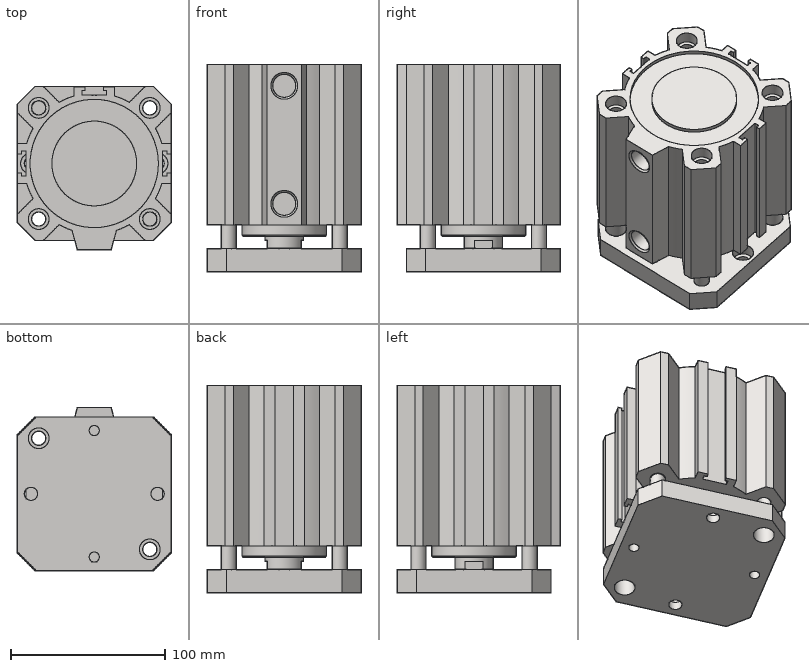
import cadquery as cq
import math

plate_thickness = 15.0
housing_bottom = 30.4
total_height = 134.5
housing_height = total_height - housing_bottom

body_width = 100.0
barrel_diameter = 91.5
corner_pad_width = 24.0
corner_chamfer = 11.5
rib_width = 26.1
rib_face_distance = 49.8
rib_angles = (0, 90, 180)
port_face_y = -56.02
port_face_width = 22.0
port_block_slope = 15.0

slot_neck_width = 12.1
slot_lip_thickness = 2.4
slot_width = 16.1
slot_depth = 5.4

recess_diameter = 83.3
recess_depth = 2.5
center_disc_diameter = 55.0
boss_diameter = 55.0
boss_bottom = 23.0
boss_chamfer = 0.8

corner_offset = 36.0
corner_hole_diameter = 9.0
counterbore_diameter = 13.5
counterbore_depth = 8.5

port_diameter = 14.9
port_depth = 16.1
port_chamfer = 1.2
port_lower_z = 44.1
port_upper_z = 120.6

plate_chamfer = 12.5
access_hole_diameter = counterbore_diameter
side_hole_offset = 41.0
side_hole_diameter = 8.5
small_hole_diameter = 6.6
rod_diameter = 25.0
rod_flat_width = 22.0
rod_flat_top = 20.5
rod_chamfer = 0.5
pin_diameter = 10.0

access_corners = [(-corner_offset, -corner_offset), (corner_offset, corner_offset)]
pin_corners = [(-corner_offset, corner_offset), (corner_offset, -corner_offset)]


def turned(shape, angle):
    return shape.rotate((0, 0, 0), (0, 0, 1), angle)


def chamfered_square(chamfer, bottom, height):
    square = cq.Workplane("XY").workplane(offset=bottom).rect(body_width, body_width).extrude(height)
    return square.edges("|Z").chamfer(chamfer)


def cylinder(diameter, bottom, top):
    return cq.Workplane("XY").workplane(offset=bottom).circle(diameter / 2).extrude(top - bottom)


def counterbored_holes(target, top, points, hole_diameter):
    holes = cq.Workplane("XY").workplane(offset=top).pushPoints(points)
    bores = holes.circle(counterbore_diameter / 2).extrude(-counterbore_depth)
    through = holes.circle(hole_diameter / 2).extrude(-top)
    return target.cut(bores).cut(through)


def corner_pads():
    diagonal_length = 2 * body_width
    base = cq.Workplane("XY").workplane(offset=housing_bottom)
    strip = base.rect(diagonal_length, corner_pad_width).extrude(housing_height)
    cross = turned(strip, 45).union(turned(strip, -45))
    return cross.intersect(chamfered_square(corner_chamfer, housing_bottom, housing_height))


def radial_block(inner_x, outer_x, width):
    """Full-height block across the X axis between two X positions."""
    base = cq.Workplane("XY").workplane(offset=housing_bottom)
    return base.center((inner_x + outer_x) / 2, 0).rect(outer_x - inner_x, width).extrude(housing_height)


def rib():
    return radial_block(0, rib_face_distance, rib_width)


def t_slot():
    floor_x = rib_face_distance - slot_depth
    neck = radial_block(floor_x, rib_face_distance, slot_neck_width)
    undercut = radial_block(floor_x, rib_face_distance - slot_lip_thickness, slot_width)
    return neck.union(undercut)


def port_block():
    widening = -port_face_y * math.tan(math.radians(port_block_slope))
    face_half = port_face_width / 2
    root_half = face_half + widening
    outline = [(-face_half, port_face_y), (face_half, port_face_y), (root_half, 0), (-root_half, 0)]
    base = cq.Workplane("XY").workplane(offset=housing_bottom)
    return base.polyline(outline).close().extrude(housing_height)


def port(z):
    """Blind bore into the port face with a chamfered mouth."""
    mouth = cq.Vector(0, port_face_y, z)
    inward = cq.Vector(0, 1, 0)
    bore_radius = port_diameter / 2
    bore = cq.Solid.makeCylinder(bore_radius, port_depth, mouth, inward)
    chamfer = cq.Solid.makeCone(bore_radius + port_chamfer, bore_radius, port_chamfer, mouth, inward)
    return cq.Workplane(bore).union(cq.Workplane(chamfer))


def end_recess():
    """Ring-shaped recess in the top end around a disc left flush with the top."""
    floor = total_height - recess_depth
    return cylinder(recess_diameter, floor, total_height).cut(cylinder(center_disc_diameter, floor, total_height))


def rod_boss():
    return cylinder(boss_diameter, boss_bottom, housing_bottom).faces("<Z").chamfer(boss_chamfer)


def make_housing():
    housing = cylinder(barrel_diameter, housing_bottom, total_height)
    housing = housing.union(corner_pads()).union(port_block())
    for angle in rib_angles:
        housing = housing.union(turned(rib(), angle)).cut(turned(t_slot(), angle))
    housing = housing.cut(end_recess()).union(rod_boss())
    housing = counterbored_holes(housing, total_height, access_corners + pin_corners, corner_hole_diameter)
    for z in (port_lower_z, port_upper_z):
        housing = housing.cut(port(z))
    return housing


def piston_rod():
    rod = cylinder(rod_diameter, plate_thickness, boss_bottom).faces("<Z").chamfer(rod_chamfer)
    flats = cq.Workplane("XY").workplane(offset=plate_thickness)
    flats = flats.rect(rod_flat_width, body_width).extrude(rod_flat_top - plate_thickness)
    return rod.intersect(flats.union(cylinder(rod_diameter, rod_flat_top, boss_bottom)))


def guide_pins():
    base = cq.Workplane("XY").workplane(offset=plate_thickness).pushPoints(pin_corners)
    return base.circle(pin_diameter / 2).extrude(housing_bottom - plate_thickness)


def plain_plate_holes(points, diameter):
    return cq.Workplane("XY").pushPoints(points).circle(diameter / 2).extrude(plate_thickness)


def make_moving_plate():
    plate = chamfered_square(plate_chamfer, 0, plate_thickness)
    counterbored_points = [(-side_hole_offset, 0), (side_hole_offset, 0)]
    small_points = [(0, -side_hole_offset), (0, side_hole_offset)]
    plate = counterbored_holes(plate, plate_thickness, counterbored_points, side_hole_diameter)
    plate = plate.cut(plain_plate_holes(small_points, small_hole_diameter))
    plate = plate.cut(plain_plate_holes(access_corners, access_hole_diameter))
    return plate.union(guide_pins()).union(piston_rod())


housing = make_housing()
moving_plate = make_moving_plate()
result = cq.Compound.makeCompound([housing.val(), moving_plate.val()])